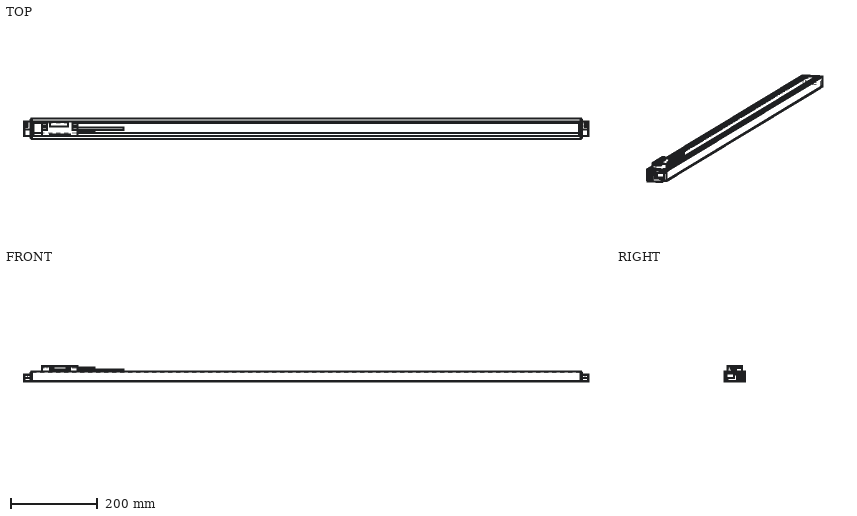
import cadquery as cq

overall_length = 1304.0
track_width = 47.9
track_height = 23.0
overall_height = 35.0
connector_length = 14.5
end_taper_length = 4.0
end_taper_width = 4.7

channel_half_width = 17.0
channel_end_inset = 22.0
groove_floor_z = 20.0
rib_top_z = 22.0
rib_y_min = -9.5
rib_y_max = 13.0

connector_half_width = 17.0
connector_height = 15.5
connector_step_y = -2.0
connector_step_z = 7.5
connector_slot_width = 2.0
connector_slot_depth = 8.0
connector_slot_centres_y = (6.0, 13.0)

adapter_x_min = -611.0
adapter_x_max = -528.0
adapter_half_width = channel_half_width
end_block_length = 12.0
end_groove_floor_z = 31.0
end_grooves_y = ((-3.0, 3.0), (6.0, 12.0))

waist_x_min = -592.0
waist_x_max = -546.0
waist_y = -13.5
waist_floor_z = 27.0
waist_post_length = 4.0
waist_post_gap = 4.0

pocket_x_min = -592.0
pocket_x_max = -551.0
pocket_y_min = 5.0
pocket_y_max = 15.5
pocket_depth = 2.0

bar_x_max = -422.0
bar_half_width = 2.5
bar_top_z = 27.0
cable_x_max = -489.0
cable_radius = 2.4
cable_y = -5.7
cable_z = 29.9

half_length = overall_length / 2
track_end = half_length - connector_length
channel_end = half_length - channel_end_inset


def box(x_min, x_max, y_min, y_max, z_min, z_max):
    """A block given by its limits along each axis."""
    size = (x_max - x_min, y_max - y_min, z_max - z_min)
    return cq.Workplane("XY").box(*size, centered=False).translate((x_min, y_min, z_min))


def make_channel():
    """Material taken from the top of the track: both grooves and the gap above the rib."""
    channel = box(-channel_end, channel_end, -channel_half_width, channel_half_width,
                  groove_floor_z, track_height)
    rib = box(-channel_end, channel_end, rib_y_min, rib_y_max, groove_floor_z, rib_top_z)
    return channel.cut(rib)


def make_connector():
    """Connector on the -X end of the track."""
    tip = -half_length
    root = -track_end
    connector = box(tip, root, -connector_half_width, connector_half_width, 0, connector_height)
    connector = connector.cut(box(tip, root, -connector_half_width, connector_step_y,
                                  connector_step_z, connector_height))
    for slot_y in connector_slot_centres_y:
        slot = box(tip, tip + connector_slot_depth, slot_y - connector_slot_width / 2,
                   slot_y + connector_slot_width / 2, 0, connector_height)
        connector = connector.cut(slot)
    return connector


def taper_end(body, end_side):
    """Bevel the two upright edges and the top edge of the track end on the given side of X."""
    half_width = track_width / 2
    taper_start = end_side * (track_end - end_taper_length)
    tip_width = track_width - 2 * end_taper_width
    tip_height = track_height - end_taper_width
    tapered = (
        cq.Workplane("YZ", origin=(taper_start, 0, track_height / 2))
        .rect(track_width, track_height)
        .workplane(offset=end_side * end_taper_length)
        .center(0, -end_taper_width / 2)
        .rect(tip_width, tip_height)
        .loft(ruled=True)
    )
    end_limits = sorted((taper_start, end_side * track_end))
    full_end = box(*end_limits, -half_width, half_width, 0, track_height)
    return body.cut(full_end).union(tapered)


def make_track():
    half_width = track_width / 2
    body = box(-track_end, track_end, -half_width, half_width, 0, track_height)
    for end_side in (-1, 1):
        body = taper_end(body, end_side)
    body = body.cut(make_channel())
    connector = make_connector()
    return body.union(connector).union(connector.mirror("YZ"))


def groove_end_block(adapter, x_min):
    """Cut the two lengthwise grooves in the top of the end block that starts at x_min."""
    x_max = x_min + end_block_length
    for y_min, y_max in end_grooves_y:
        adapter = adapter.cut(box(x_min, x_max, y_min, y_max, end_groove_floor_z, overall_height))
    return adapter


def cut_waist(adapter):
    """Recess the -Y side, leaving one post near each end of the recess."""
    waist = box(waist_x_min, waist_x_max, -adapter_half_width, waist_y, waist_floor_z, overall_height)
    for post_x in (waist_x_min + waist_post_gap, waist_x_max - waist_post_gap - waist_post_length):
        waist = waist.cut(box(post_x, post_x + waist_post_length, -adapter_half_width, waist_y,
                              waist_floor_z, overall_height))
    return adapter.cut(waist)


def make_adapter():
    adapter = box(adapter_x_min, adapter_x_max, -adapter_half_width, adapter_half_width,
                  rib_top_z, overall_height)
    for block_x in (adapter_x_min, adapter_x_max - end_block_length):
        adapter = groove_end_block(adapter, block_x)
    adapter = cut_waist(adapter)
    adapter = adapter.cut(box(pocket_x_min, pocket_x_max, pocket_y_min, pocket_y_max,
                              overall_height - pocket_depth, overall_height))
    bar = box(adapter_x_max, bar_x_max, -bar_half_width, bar_half_width, rib_top_z, bar_top_z)
    cable_start = cq.Workplane("YZ", origin=(adapter_x_max, cable_y, cable_z))
    cable = cable_start.circle(cable_radius).extrude(cable_x_max - adapter_x_max)
    return adapter.union(bar).union(cable)


track = make_track()
adapter = make_adapter()
result = cq.Compound.makeCompound([track.val(), adapter.val()])